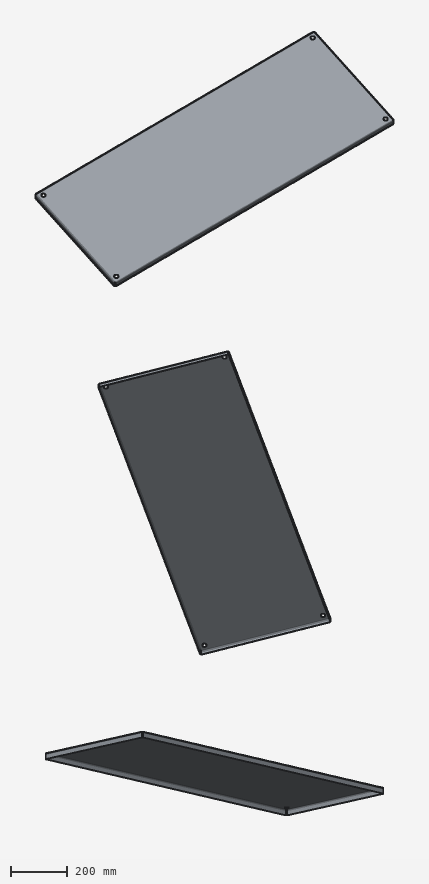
import cadquery as cq

width = 483.0
length = 1219.0
height = 22.0
sheet = 1.5
bend_radius = 3.3

hole_diameter = 15.0
hole_inset = 22.0

corner_notch = bend_radius


def block(size_x, size_y, size_z):
    """Block centred in X and Y, standing on the plane Z = 0."""
    return cq.Workplane("XY").box(size_x, size_y, size_z, centered=(True, True, False))


def folded_sheet():
    """Flat top with a flange folded down along each of its four edges."""
    outside = block(width, length, height).faces(">Z").edges().fillet(bend_radius)
    inside = block(width - 2 * sheet, length - 2 * sheet, height - sheet)
    inside = inside.faces(">Z").edges().fillet(bend_radius - sheet)
    return outside.cut(inside)


def corner_notches():
    """Square prisms that remove the four outer corners."""
    return (
        cq.Workplane("XY")
        .rect(width, length, forConstruction=True)
        .vertices()
        .rect(2 * corner_notch, 2 * corner_notch)
        .extrude(height)
    )


def mounting_holes():
    """Cylinders through the flat top at the four corners."""
    return (
        cq.Workplane("XY")
        .rect(width - 2 * hole_inset, length - 2 * hole_inset, forConstruction=True)
        .vertices()
        .circle(hole_diameter / 2)
        .extrude(height)
    )


result = folded_sheet().cut(corner_notches()).cut(mounting_holes())